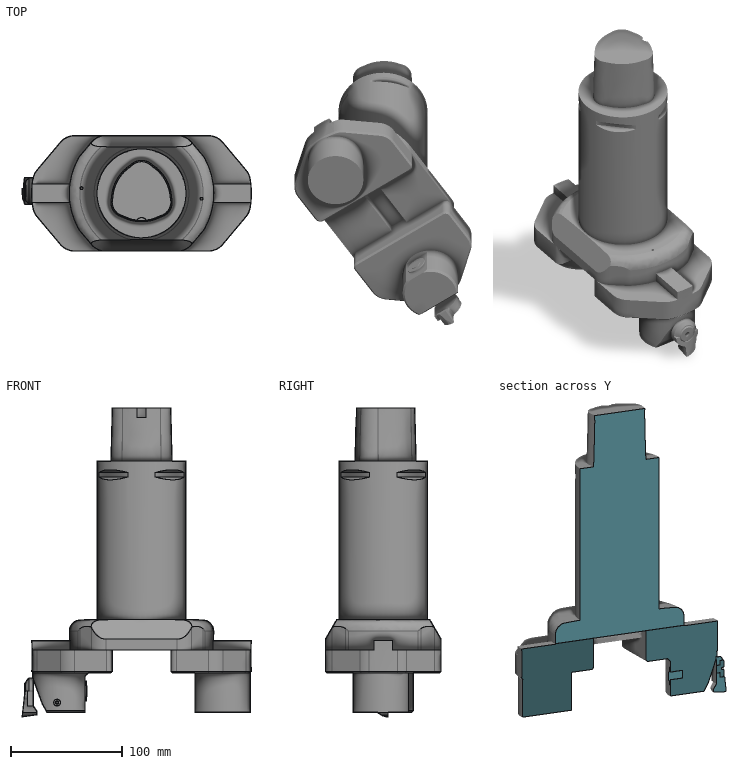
import cadquery as cq
import math


SHANK_RADIUS = 40.0
TAPER_LENGTH = 48.0
TAPER_ANGLE = math.degrees(math.atan(1 / 40))
LOBE_RADIUS = 29.7
FLAT_RADIUS = 25.5
JOINT_RADIUS = 27.5
JOINT_ANGLE = 20.6
LOBE_SPACING = 120
LOBE_ANGLES = (90, 210, 330)
NOTCH_DIAMETER = 9.5
NOTCH_DEPTH = 8.8
NOTCH_CENTER_Y = -26.5

GRIP_ANGLES = (45, 135, 225, 315)
GRIP_FLOOR = 35.6
GRIP_Z = -12.2
GRIP_FLOOR_HEIGHT = 4.0
GRIP_WALL_ANGLE = 30.0
GRIP_OVERCUT = 1.0

HEAD_TOP = -142.2
HEAD_BOTTOM = -170.0
HEAD_RADIUS = 65.0
HALF_WIDTH = 52.0
COLLAR_RADIUS = 42.7
TOP_DROP = 1.0
RIM_FILLET = 10.0
SIDE_BEVEL_TOP_Y = 41.7
SIDE_BEVEL_ANGLE = 60.0
DOT_DIAMETER = 2.5
DOT_DEPTH = 2.0
DOT_RADIUS = 54.2
DOT_ANGLES = (175, 355)

CORNER_ANGLE = 50.0
CORNER_FILLET = 17.0
HEAD_CORNER_X = 40.0
SLIDE_CORNER_X = 68.0

SLIDE_INNER = 26.3
SLIDE_OUTER = 98.9
SLIDE_END_RADIUS = 75.0
SLIDE_BOTTOM = -190.5
SLIDE_CHAMFER = 1.5
INNER_FILLET = 5.3
END_TRIM_REACH = 10.0
RAIL_WIDTH = 16.5
RAIL_TOP = -161.4
BOSS_RADIUS = 25.0
BOSS_X = 73.0
BOSS_Y = 2.2
BOSS_BOTTOM = -226.0
BOSS_CHAMFER = 1.8

RELIEF_TOP = (-98.0, -194.8)
RELIEF_KNEE = (-89.2, -218.6)
RELIEF_TOE = (-85.0, -226.0)
BACK_FLAT_X = -50.8

SCREW_Y = BOSS_Y
SCREW_Z = -206.9
EYE_RADIUS = 12.0
INSERT_BACK = -97.2
INSERT_TIP = (-107.44, -230.0)
INSERT_FACE_ANGLE = 6.2
EYE_CHAMFER_AXIAL = 2.5
EYE_CHAMFER_RADIAL = 3.0
EYE_EDGE_X = -101.4
TIP_CLEARANCE_ANGLE = 8.0
HEEL_X = -94.1
HEEL_START_Z = -220.5
HEEL_END_Z = -224.9
HEAD_FACE_X = -105.2
SCREW_HEAD_DIAMETER = 15.8
SCREW_FACE_DIAMETER = 13.9
SCREW_HEAD_HEIGHT = 4.0
SCREW_DIAMETER = 8.0
SCREW_SOCKET_DIAMETER = 4.7
SCREW_SOCKET_DEPTH = 2.5

SET_DIAMETER = 6.0
SET_X = -76.0
SET_Z = -217.1
SET_LENGTH = 10.0
SET_RECESS = 0.6
SET_SOCKET = 2.8
SET_SOCKET_DEPTH = 2.0

BACK_FLANGE_DIAMETER = 18.0
BACK_FLANGE_HEIGHT = 1.1
BACK_CAP_DIAMETER = 9.5
BACK_CAP_HEIGHT = 0.7
BACK_STEM_DIAMETER = 8.0
BACK_STEM_LENGTH = 12.0

BIG = 200.0
TOLERANCE = 0.01


def polar(radius, angle):
    a = math.radians(angle)
    return (radius * math.cos(a), radius * math.sin(a))


def cylinder_x(x_start, x_end, diameter, y, z):
    """Cylinder along X between two X positions."""
    plane = cq.Plane(origin=(x_start, y, z), xDir=(0, 1, 0), normal=(1, 0, 0))
    return cq.Workplane(plane).circle(diameter / 2).extrude(x_end - x_start)


def cut_corner_y(corner_x, x):
    """Y on a corner plane that meets the side face at corner_x."""
    return HALF_WIDTH - (x - corner_x) * math.tan(math.radians(CORNER_ANGLE))


def on_head_round(edge):
    """True for an upright edge on the head's round body, away from the seam at Y = 0."""
    center = edge.Center()
    on_round = math.hypot(center.x, center.y) > HEAD_RADIUS - TOLERANCE
    return on_round and abs(center.y) > TOLERANCE


def polygon_taper():
    outline = cq.Workplane("XY").moveTo(*polar(JOINT_RADIUS, LOBE_ANGLES[0] - JOINT_ANGLE))
    for lobe in LOBE_ANGLES:
        outline = outline.threePointArc(polar(LOBE_RADIUS, lobe), polar(JOINT_RADIUS, lobe + JOINT_ANGLE))
        next_joint = polar(JOINT_RADIUS, lobe + LOBE_SPACING - JOINT_ANGLE)
        outline = outline.threePointArc(polar(FLAT_RADIUS, lobe + LOBE_SPACING / 2), next_joint)
    taper = outline.close().extrude(TAPER_LENGTH, taper=TAPER_ANGLE)
    notch = (
        cq.Workplane("XY", origin=(0, NOTCH_CENTER_Y, TAPER_LENGTH - NOTCH_DEPTH))
        .circle(NOTCH_DIAMETER / 2)
        .extrude(NOTCH_DEPTH)
    )
    return taper.cut(notch)


def grip_groove(angle):
    """Straight groove across the shank, with sloping walls."""
    depth = SHANK_RADIUS - GRIP_FLOOR + GRIP_OVERCUT
    half_floor = GRIP_FLOOR_HEIGHT / 2
    half_mouth = half_floor + depth * math.tan(math.radians(GRIP_WALL_ANGLE))
    groove = (
        cq.Workplane("XZ")
        .moveTo(GRIP_FLOOR, GRIP_Z - half_floor)
        .lineTo(GRIP_FLOOR + depth, GRIP_Z - half_mouth)
        .lineTo(GRIP_FLOOR + depth, GRIP_Z + half_mouth)
        .lineTo(GRIP_FLOOR, GRIP_Z + half_floor)
        .close()
        .extrude(SHANK_RADIUS, both=True)
    )
    return groove.rotate((0, 0, 0), (0, 0, 1), angle)


def head_body():
    rim_z = HEAD_TOP - TOP_DROP
    turned = (
        cq.Workplane("XZ")
        .moveTo(0, HEAD_BOTTOM)
        .lineTo(HEAD_RADIUS, HEAD_BOTTOM)
        .lineTo(HEAD_RADIUS, rim_z)
        .lineTo(COLLAR_RADIUS, HEAD_TOP)
        .lineTo(0, HEAD_TOP)
        .close()
        .revolve(360, (0, 0, 0), (0, 1, 0))
    )
    rim = cq.selectors.BoxSelector((-BIG, -BIG, rim_z - TOLERANCE), (BIG, BIG, rim_z + TOLERANCE))
    turned = turned.edges(rim).fillet(RIM_FILLET)

    end_y = cut_corner_y(HEAD_CORNER_X, HEAD_RADIUS)
    outline = [
        (HEAD_RADIUS, end_y), (HEAD_CORNER_X, HALF_WIDTH),
        (-HEAD_CORNER_X, HALF_WIDTH), (-HEAD_RADIUS, end_y),
        (-HEAD_RADIUS, -end_y), (-HEAD_CORNER_X, -HALF_WIDTH),
        (HEAD_CORNER_X, -HALF_WIDTH), (HEAD_RADIUS, -end_y),
    ]
    envelope = (
        cq.Workplane("XY", origin=(0, 0, HEAD_BOTTOM))
        .polyline(outline)
        .close()
        .extrude(HEAD_TOP - HEAD_BOTTOM)
    )
    round_body = (
        cq.Workplane("XY", origin=(0, 0, HEAD_BOTTOM))
        .circle(HEAD_RADIUS)
        .extrude(HEAD_TOP - HEAD_BOTTOM)
    )
    side_corners = cq.selectors.BoxSelector(
        (-HEAD_RADIUS + TOLERANCE, -BIG, -BIG), (HEAD_RADIUS - TOLERANCE, BIG, BIG)
    )
    envelope = envelope.edges("|Z").edges(side_corners).fillet(CORNER_FILLET)
    envelope = envelope.intersect(round_body)
    envelope = envelope.edges("|Z").filter(on_head_round).fillet(CORNER_FILLET)
    head = turned.intersect(envelope)

    bevel_run = HALF_WIDTH - SIDE_BEVEL_TOP_Y
    bevel = (
        cq.Workplane("YZ")
        .moveTo(SIDE_BEVEL_TOP_Y, HEAD_TOP)
        .lineTo(HALF_WIDTH, HEAD_TOP)
        .lineTo(HALF_WIDTH, HEAD_TOP - bevel_run * math.tan(math.radians(SIDE_BEVEL_ANGLE)))
        .close()
        .extrude(HEAD_RADIUS, both=True)
    )
    return head.cut(bevel).cut(bevel.mirror("XZ"))


def make_housing():
    shank = cq.Workplane("XY").circle(SHANK_RADIUS).extrude(HEAD_TOP)
    for angle in GRIP_ANGLES:
        shank = shank.cut(grip_groove(angle))
    housing = head_body().union(shank).union(polygon_taper())

    keyway = (
        cq.Workplane("XY", origin=(0, 0, HEAD_BOTTOM))
        .rect(2 * HEAD_RADIUS, RAIL_WIDTH)
        .extrude(RAIL_TOP - HEAD_BOTTOM)
    )
    dots = (
        cq.Workplane("XY", origin=(0, 0, HEAD_TOP - TOP_DROP - DOT_DEPTH))
        .pushPoints([polar(DOT_RADIUS, angle) for angle in DOT_ANGLES])
        .circle(DOT_DIAMETER / 2)
        .extrude(2 * DOT_DEPTH)
    )
    return housing.cut(keyway).cut(dots)


def slide_with_boss():
    """Slide for the +X side: plate, key rail and round boss."""
    slide_height = RAIL_TOP - SLIDE_BOTTOM
    round_end = (
        cq.Workplane("XY", origin=(SLIDE_OUTER - SLIDE_END_RADIUS, 0, SLIDE_BOTTOM))
        .circle(SLIDE_END_RADIUS)
        .extrude(slide_height)
    )
    end_y = cut_corner_y(SLIDE_CORNER_X, SLIDE_OUTER)
    plate = (
        cq.Workplane("XY", origin=(0, 0, SLIDE_BOTTOM))
        .polyline([
            (SLIDE_INNER, -HALF_WIDTH), (SLIDE_CORNER_X, -HALF_WIDTH), (SLIDE_OUTER, -end_y),
            (SLIDE_OUTER, end_y), (SLIDE_CORNER_X, HALF_WIDTH), (SLIDE_INNER, HALF_WIDTH),
        ])
        .close()
        .extrude(HEAD_BOTTOM - SLIDE_BOTTOM)
    )
    end_trim = (
        cq.Workplane("XY", origin=(SLIDE_OUTER, 0, SLIDE_BOTTOM))
        .rect(2 * END_TRIM_REACH, 2 * HALF_WIDTH)
        .extrude(slide_height)
        .cut(round_end)
    )
    plate = plate.cut(end_trim)
    outer_corners = cq.selectors.BoxSelector((SLIDE_INNER + TOLERANCE, -BIG, -BIG), (BIG, BIG, BIG))
    plate = plate.edges("|Z").edges(outer_corners).fillet(CORNER_FILLET)
    plate = plate.edges("|Z").edges("<X").fillet(INNER_FILLET)
    plate = plate.faces("<Z").edges().chamfer(SLIDE_CHAMFER)

    rail = (
        cq.Workplane("XY", origin=((SLIDE_INNER + SLIDE_OUTER) / 2, 0, HEAD_BOTTOM))
        .rect(SLIDE_OUTER - SLIDE_INNER, RAIL_WIDTH)
        .extrude(RAIL_TOP - HEAD_BOTTOM)
        .cut(end_trim)
    )
    boss = (
        cq.Workplane("XY", origin=(BOSS_X, -BOSS_Y, SLIDE_BOTTOM))
        .circle(BOSS_RADIUS)
        .extrude(BOSS_BOTTOM - SLIDE_BOTTOM)
    )
    return plate.union(rail).union(boss)


def make_tool_slide():
    """Slide turned to the -X side, with its boss shaped to carry the insert."""
    slide = slide_with_boss().rotate((0, 0, 0), (0, 0, 1), 180)
    slide = slide.faces("<Z").edges().chamfer(BOSS_CHAMFER)

    relief = (
        cq.Workplane("XZ")
        .polyline([RELIEF_TOP, RELIEF_KNEE, RELIEF_TOE, (RELIEF_TOP[0], RELIEF_TOE[1])])
        .close()
        .extrude(BIG, both=True)
    )
    boss_edge_x = BOSS_RADIUS - BOSS_X
    back_step = boss_edge_x - BACK_FLAT_X
    back_flat = (
        cq.Workplane("XZ")
        .moveTo(boss_edge_x, SLIDE_BOTTOM)
        .lineTo(BACK_FLAT_X, SLIDE_BOTTOM - back_step)
        .lineTo(BACK_FLAT_X, BOSS_BOTTOM)
        .lineTo(boss_edge_x, BOSS_BOTTOM)
        .close()
        .extrude(BIG, both=True)
    )
    slide = slide.cut(relief).cut(back_flat)

    slide = slide.cut(cylinder_x(INSERT_TIP[0], INSERT_BACK, 2 * EYE_RADIUS, SCREW_Y, SCREW_Z))
    back_start = BACK_FLAT_X - BACK_STEM_LENGTH
    slide = slide.cut(cylinder_x(back_start, BACK_FLAT_X, BACK_STEM_DIAMETER, SCREW_Y, SCREW_Z))
    return slide.cut(set_screw_blank(SET_MOUTH_Y - SET_RECESS, SET_RECESS + SET_LENGTH))


NECK_START = (11.0, -214.0)
NECK_MID = (5.9, -218.0)
NECK_END = (4.6, -221.5)
TIP_CORNERS = [(4.4, INSERT_TIP[1]), (2.8, INSERT_TIP[1]), (-0.5, -229.1), (-5.1, -226.1)]
FLANK_MID = (-6.7, -217.5)
FLANK_TOP = (-9.2, -208.5)
SHOULDER_Y = SCREW_Y - EYE_RADIUS
SHOULDER_BOTTOM = -220.3
SHOULDER_THICKNESS = 5.5


def make_insert():
    lever = (
        cq.Workplane("YZ", origin=(INSERT_TIP[0], 0, 0))
        .moveTo(SCREW_Y, SCREW_Z)
        .lineTo(*NECK_START)
        .threePointArc(NECK_MID, NECK_END)
        .polyline(TIP_CORNERS, includeCurrent=True)
        .threePointArc(FLANK_MID, FLANK_TOP)
        .close()
        .extrude(HEEL_X - INSERT_TIP[0])
    )
    eye = cylinder_x(INSERT_TIP[0], INSERT_BACK, 2 * EYE_RADIUS, SCREW_Y, SCREW_Z)
    shoulder = (
        cq.Workplane("YZ", origin=(INSERT_BACK - SHOULDER_THICKNESS, 0, 0))
        .moveTo(SHOULDER_Y, SCREW_Z)
        .lineTo(SHOULDER_Y, SHOULDER_BOTTOM)
        .lineTo(SCREW_Y, SHOULDER_BOTTOM)
        .lineTo(SCREW_Y, SCREW_Z)
        .close()
        .extrude(SHOULDER_THICKNESS)
    )

    eye_top = SCREW_Z + EYE_RADIUS
    tip_x, tip_z = INSERT_TIP
    face_top_x = tip_x + (eye_top - tip_z) * math.tan(math.radians(INSERT_FACE_ANGLE))
    heel_bottom = tip_z + (HEEL_X - tip_x) * math.tan(math.radians(TIP_CLEARANCE_ANGLE))
    side = (
        cq.Workplane("XZ")
        .polyline([
            (tip_x, tip_z), (HEEL_X, heel_bottom), (HEEL_X, HEEL_END_Z),
            (INSERT_BACK, HEEL_START_Z), (INSERT_BACK, eye_top), (face_top_x, eye_top),
        ])
        .close()
        .extrude(BIG, both=True)
    )
    insert = eye.union(lever).union(shoulder).intersect(side)

    cone_run = EYE_EDGE_X - tip_x
    cone_rise = cone_run * EYE_CHAMFER_RADIAL / EYE_CHAMFER_AXIAL
    chamfer = (
        cq.Workplane("XY", origin=(0, SCREW_Y, SCREW_Z))
        .moveTo(EYE_EDGE_X, EYE_RADIUS)
        .lineTo(tip_x, EYE_RADIUS)
        .lineTo(tip_x, EYE_RADIUS - cone_rise)
        .close()
        .revolve(180, (0, 0, 0), (1, 0, 0))
    )
    insert = insert.cut(chamfer)

    head_back = HEAD_FACE_X + SCREW_HEAD_HEIGHT
    bore = cylinder_x(tip_x, head_back, SCREW_HEAD_DIAMETER, SCREW_Y, SCREW_Z)
    hole = cylinder_x(tip_x, INSERT_BACK, SCREW_DIAMETER, SCREW_Y, SCREW_Z)
    return insert.cut(bore).cut(hole)


def make_insert_screw():
    head_back = HEAD_FACE_X + SCREW_HEAD_HEIGHT
    head = cylinder_x(HEAD_FACE_X, head_back, SCREW_HEAD_DIAMETER, SCREW_Y, SCREW_Z)
    head = head.faces("<X").chamfer((SCREW_HEAD_DIAMETER - SCREW_FACE_DIAMETER) / 2)
    stem = cylinder_x(head_back, INSERT_BACK, SCREW_DIAMETER, SCREW_Y, SCREW_Z)
    socket_end = HEAD_FACE_X + SCREW_SOCKET_DEPTH
    socket = cylinder_x(HEAD_FACE_X, socket_end, SCREW_SOCKET_DIAMETER, SCREW_Y, SCREW_Z)
    return head.union(stem).cut(socket)


SET_MOUTH_Y = BOSS_Y - math.sqrt(BOSS_RADIUS ** 2 - (SET_X + BOSS_X) ** 2) + SET_RECESS


def set_screw_blank(y_start, length):
    plane = cq.Plane(origin=(SET_X, y_start, SET_Z), xDir=(1, 0, 0), normal=(0, 1, 0))
    return cq.Workplane(plane).circle(SET_DIAMETER / 2).extrude(length)


def make_set_screw():
    screw = set_screw_blank(SET_MOUTH_Y, SET_LENGTH)
    plane = cq.Plane(origin=(SET_X, SET_MOUTH_Y, SET_Z), xDir=(1, 0, 0), normal=(0, 1, 0))
    socket = cq.Workplane(plane).polygon(6, SET_SOCKET, circumscribed=True).extrude(SET_SOCKET_DEPTH)
    return screw.cut(socket)


def make_back_screw():
    flange_end = BACK_FLAT_X + BACK_FLANGE_HEIGHT
    cap_end = flange_end + BACK_CAP_HEIGHT
    stem = cylinder_x(BACK_FLAT_X - BACK_STEM_LENGTH, BACK_FLAT_X, BACK_STEM_DIAMETER, SCREW_Y, SCREW_Z)
    flange = cylinder_x(BACK_FLAT_X, flange_end, BACK_FLANGE_DIAMETER, SCREW_Y, SCREW_Z)
    cap = cylinder_x(flange_end, cap_end, BACK_CAP_DIAMETER, SCREW_Y, SCREW_Z)
    return stem.union(flange).union(cap)


housing = make_housing()
tool_slide = make_tool_slide()
counter_slide = slide_with_boss()
insert = make_insert()
insert_screw = make_insert_screw()
set_screw = make_set_screw()
back_screw = make_back_screw()

result = cq.Compound.makeCompound([
    housing.solids().val(),
    tool_slide.solids().val(),
    counter_slide.solids().val(),
    insert.solids().val(),
    insert_screw.solids().val(),
    set_screw.solids().val(),
    back_screw.solids().val(),
])